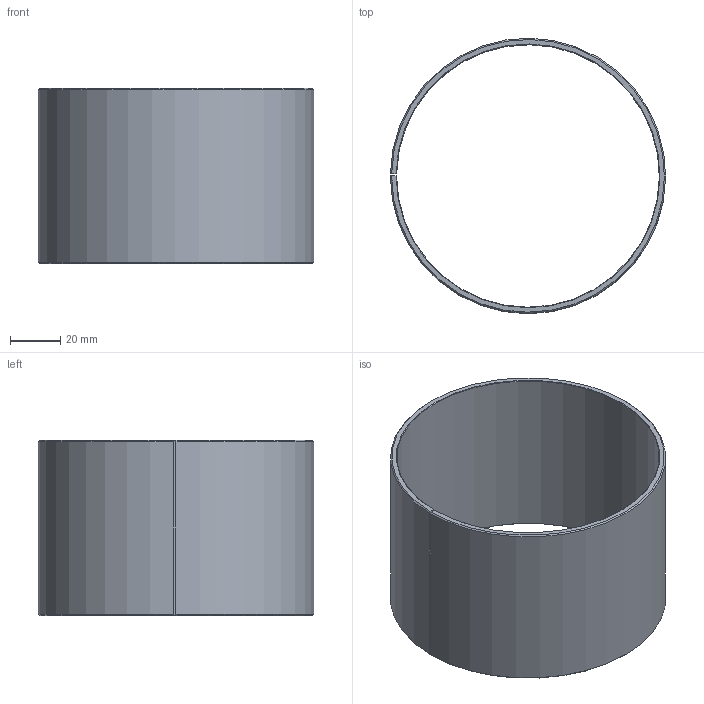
import cadquery as cq

outer_diameter = 110.0
wall = 2.5
length = 70.0
outer_chamfer = 0.5
inner_chamfer = 0.2
gap_angle = 1.0

outer_radius = outer_diameter / 2
inner_radius = outer_radius - wall


def wall_section():
    """Wall profile with chamfered rims, in the XZ plane on the -X side."""
    outline = [
        (-inner_radius, inner_chamfer),
        (-inner_radius - inner_chamfer, 0),
        (-outer_radius + outer_chamfer, 0),
        (-outer_radius, outer_chamfer),
        (-outer_radius, length - outer_chamfer),
        (-outer_radius + outer_chamfer, length),
        (-inner_radius - inner_chamfer, length),
        (-inner_radius, length - inner_chamfer),
    ]
    return cq.Workplane("XZ").polyline(outline).close()


result = wall_section().revolve(360 - gap_angle, (0, 0, 0), (0, 1, 0))